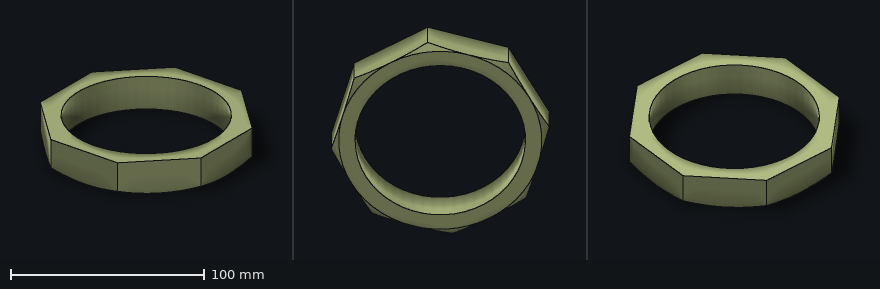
import cadquery as cq
import math

across_flats = 105.0
height = 19.0
bore_diameter = 88.0
side_count = 8
chamfer_angle = 30.0

flat_radius = across_flats / 2
corner_radius = flat_radius / math.cos(math.pi / side_count)
chamfer_slope = math.tan(math.radians(chamfer_angle))

blank_radius = corner_radius + 1.0
cone_rise = (blank_radius - flat_radius) * chamfer_slope


def octagonal_prism():
    """Octagon with flats facing +X, -X, +Y and -Y, standing on Z = 0."""
    half_side_angle = 180.0 / side_count
    return (
        cq.Workplane("XY")
        .polygon(side_count, 2 * corner_radius)
        .extrude(height)
        .rotate((0, 0, 0), (0, 0, 1), half_side_angle)
    )


def chamfered_blank():
    """Round blank whose bottom edge is a cone starting at the flats' inscribed circle."""
    profile = [
        (0, 0),
        (flat_radius, 0),
        (blank_radius, cone_rise),
        (blank_radius, height),
        (0, height),
    ]
    return cq.Workplane("XZ").polyline(profile).close().revolve(360, (0, 0, 0), (0, 1, 0))


def bore():
    return cq.Workplane("XY").circle(bore_diameter / 2).extrude(height)


result = octagonal_prism().intersect(chamfered_blank()).cut(bore())